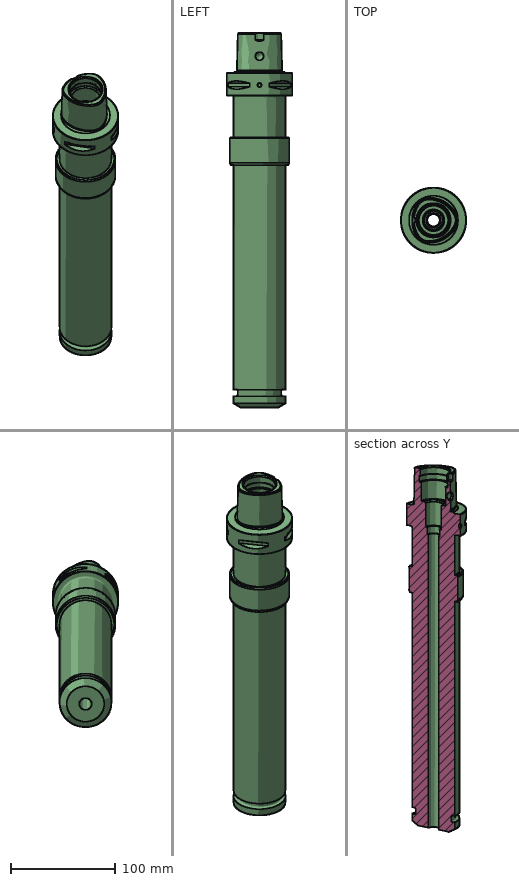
import cadquery as cq
import math

LENGTH = 360.0
SHANK_LENGTH = 38.0
FLANGE_HEIGHT = 22.0
FLANGE_TOP = LENGTH - SHANK_LENGTH
FLANGE_BOTTOM = FLANGE_TOP - FLANGE_HEIGHT
COLLAR_TOP = 260.0
COLLAR_HEIGHT = 27.0
COLLAR_BOTTOM = COLLAR_TOP - COLLAR_HEIGHT

FLANGE_DIAMETER = 63.0
FLANGE_CHAMFER = 0.5
BODY_DIAMETER = 50.0
NECK_FILLET = 1.8
COLLAR_DIAMETER = 57.5
COLLAR_CHAMFER = 1.25
COLLAR_LOWER_CHAMFER_HEIGHT = 2.5
GROOVE_DIAMETER = 42.0
GROOVE_BOTTOM = 11.0
GROOVE_WIDTH = 6.0
NOSE_DIAMETER = 36.0
NOSE_ANGLE = 30.0
GROOVE_ROUND = 1.0

SHANK_WIDTH = 44.0
SHANK_ECCENTRICITY = 1.25
LOBE_RADIUS = 13.0
TAPER_RATIO = 1 / 20
SHANK_TAPER = math.degrees(math.atan(TAPER_RATIO / 2))
SHANK_TOP_CHAMFER = 1.0
FOOT_DIAMETER = 49.5
FOOT_FILLET = 1.0
RELIEF_HEIGHT = 2.5
RELIEF_DEPTH = 0.55
LOBE_COUNT = 3

MOUTH_DIAMETER = 30.5
MOUTH_CHAMFER = 1.25
RECESS_DIAMETER = 33.0
RECESS_TOP = 8.0
RECESS_BOTTOM = 13.5
MAIN_BORE_DIAMETER = 28.0
MAIN_BORE_DEPTH = 32.5
THREAD_BORE_DIAMETER = 18.0
THREAD_BORE_CHAMFER = 1.5
THREAD_BORE_DEPTH = 57.5
STEP_BORE_DIAMETER = 14.0
STEP_BORE_DEPTH = 64.8
THROUGH_HOLE_DIAMETER = 12.0

DRILL_POINT_ANGLE = 118.0
SIDE_HOLE_DIAMETER = 8.0
SIDE_HOLE_DEPTH = 3.0
SIDE_HOLE_DROP = 22.5
RIM_NOTCH_DIAMETER = 10.8
RIM_NOTCH_DEPTH = 6.5
RIM_NOTCH_AXIS_X = -23.0
DIMPLE_DIAMETER = 4.0
DIMPLE_DEPTH = 0.7

GRIP_DEPTH = 3.5
GRIP_FLOOR_WIDTH = 3.2
GRIP_OUTER_WIDTH = 8.0
GRIP_COUNT = 4
GRIP_DROP = 12.0
GRIP_CENTER = FLANGE_TOP - GRIP_DROP

EDGE_MARGIN = 0.18


def cylinder(diameter, bottom, top):
    return cq.Workplane("XY").workplane(offset=bottom).circle(diameter / 2).extrude(top - bottom)


def polar(radius, degrees):
    angle = math.radians(degrees)
    return (radius * math.cos(angle), radius * math.sin(angle))


def round_edge(solid, radius, height, diameter):
    """Fillet the circular edge of the given diameter at the given height."""
    reach = diameter / 2 + EDGE_MARGIN
    box = cq.selectors.BoxSelector(
        (-reach, -reach, height - EDGE_MARGIN),
        (reach, reach, height + EDGE_MARGIN),
        boundingbox=True,
    )
    return solid.edges(box).edges("%CIRCLE").fillet(radius)


def body():
    body_r = BODY_DIAMETER / 2
    flange_r = FLANGE_DIAMETER / 2
    collar_r = COLLAR_DIAMETER / 2
    groove_r = GROOVE_DIAMETER / 2
    nose_r = NOSE_DIAMETER / 2
    groove_top = GROOVE_BOTTOM + GROOVE_WIDTH
    nose_height = (body_r - nose_r) * math.tan(math.radians(NOSE_ANGLE))
    fillet_mid = NECK_FILLET * (1 - math.sqrt(0.5))
    turned = (
        cq.Workplane("XZ")
        .moveTo(0, 0)
        .lineTo(nose_r, 0)
        .lineTo(body_r, nose_height)
        .lineTo(body_r, GROOVE_BOTTOM)
        .lineTo(groove_r, GROOVE_BOTTOM)
        .lineTo(groove_r, groove_top)
        .lineTo(body_r, groove_top)
        .lineTo(body_r, COLLAR_BOTTOM)
        .lineTo(collar_r - COLLAR_CHAMFER, COLLAR_BOTTOM)
        .lineTo(collar_r, COLLAR_BOTTOM + COLLAR_LOWER_CHAMFER_HEIGHT)
        .lineTo(collar_r, COLLAR_TOP - COLLAR_CHAMFER)
        .lineTo(collar_r - COLLAR_CHAMFER, COLLAR_TOP)
        .lineTo(body_r, COLLAR_TOP)
        .lineTo(body_r, FLANGE_BOTTOM - NECK_FILLET)
        .threePointArc(
            (body_r + fillet_mid, FLANGE_BOTTOM - fillet_mid),
            (body_r + NECK_FILLET, FLANGE_BOTTOM),
        )
        .lineTo(flange_r - FLANGE_CHAMFER, FLANGE_BOTTOM)
        .lineTo(flange_r, FLANGE_BOTTOM + FLANGE_CHAMFER)
        .lineTo(flange_r, FLANGE_TOP - FLANGE_CHAMFER)
        .lineTo(flange_r - FLANGE_CHAMFER, FLANGE_TOP)
        .lineTo(0, FLANGE_TOP)
        .close()
        .revolve(360, (0, 0, 0), (0, 1, 0))
    )
    for height in (GROOVE_BOTTOM, groove_top):
        turned = round_edge(turned, GROOVE_ROUND, height, GROOVE_DIAMETER)
    return turned


def shank_outline(inset, height):
    """Lobed outline moved inward by the inset and placed at the given height."""
    half_width = SHANK_WIDTH / 2 - inset
    lobe_radius = LOBE_RADIUS - inset
    lobe_tip = half_width + SHANK_ECCENTRICITY
    side_middle = half_width - SHANK_ECCENTRICITY
    lobe_offset = lobe_tip - lobe_radius
    pitch = 360 / LOBE_COUNT

    def joint(lobe_angle, side):
        center = polar(lobe_offset, lobe_angle)
        spoke = polar(lobe_radius, lobe_angle + side * pitch / 4)
        return (center[0] + spoke[0], center[1] + spoke[1])

    outline = cq.Workplane("XY").workplane(offset=height).moveTo(*joint(0, -1))
    for lobe in range(LOBE_COUNT):
        angle = lobe * pitch
        outline = outline.threePointArc(polar(lobe_tip, angle), joint(angle, 1))
        outline = outline.threePointArc(polar(side_middle, angle + pitch / 2), joint(angle + pitch, -1))
    return outline.close()


def shank():
    relief = shank_outline(RELIEF_DEPTH, FLANGE_TOP).extrude(RELIEF_HEIGHT)
    taper_length = SHANK_LENGTH - RELIEF_HEIGHT
    lobes = shank_outline(0, FLANGE_TOP + RELIEF_HEIGHT).extrude(taper_length, taper=SHANK_TAPER)
    return lobes.faces(">Z").chamfer(SHANK_TOP_CHAMFER).union(relief)


def shank_foot():
    """Ring that sweeps from the flange face up to the shank in a concave arc."""
    outer = FOOT_DIAMETER / 2
    inner = outer - FOOT_FILLET
    mid = FOOT_FILLET * (1 - math.sqrt(0.5))
    return (
        cq.Workplane("XZ")
        .moveTo(0, FLANGE_TOP)
        .lineTo(outer, FLANGE_TOP)
        .threePointArc((inner + mid, FLANGE_TOP + mid), (inner, FLANGE_TOP + FOOT_FILLET))
        .lineTo(0, FLANGE_TOP + FOOT_FILLET)
        .close()
        .revolve(360, (0, 0, 0), (0, 1, 0))
    )


def flare(diameter, chamfer, height):
    """45-degree countersink that opens a bore where it meets the given height."""
    rim = cq.Workplane("XY").workplane(offset=height).circle(diameter / 2 + chamfer)
    return rim.extrude(-chamfer, taper=45)


def bore():
    cut = cylinder(THROUGH_HOLE_DIAMETER, 0, LENGTH)
    for diameter, depth in (
        (STEP_BORE_DIAMETER, STEP_BORE_DEPTH),
        (THREAD_BORE_DIAMETER, THREAD_BORE_DEPTH),
        (MAIN_BORE_DIAMETER, MAIN_BORE_DEPTH),
        (MOUTH_DIAMETER, RECESS_BOTTOM),
    ):
        cut = cut.union(cylinder(diameter, LENGTH - depth, LENGTH))
    recess = cylinder(RECESS_DIAMETER, LENGTH - RECESS_BOTTOM, LENGTH - RECESS_TOP)
    mouth_flare = flare(MOUTH_DIAMETER, MOUTH_CHAMFER, LENGTH)
    thread_flare = flare(THREAD_BORE_DIAMETER, THREAD_BORE_CHAMFER, LENGTH - MAIN_BORE_DEPTH)
    return cut.union(recess).union(mouth_flare).union(thread_flare)


def grip_grooves():
    floor = FLANGE_DIAMETER / 2 - GRIP_DEPTH
    outer = FLANGE_DIAMETER / 2
    groove = (
        cq.Workplane("XZ")
        .polyline([
            (floor, GRIP_CENTER - GRIP_FLOOR_WIDTH / 2),
            (outer, GRIP_CENTER - GRIP_OUTER_WIDTH / 2),
            (outer, GRIP_CENTER + GRIP_OUTER_WIDTH / 2),
            (floor, GRIP_CENTER + GRIP_FLOOR_WIDTH / 2),
        ])
        .close()
        .extrude(outer, both=True)
    )
    cut = cq.Workplane("XY")
    for index in range(GRIP_COUNT):
        angle = (index + 0.5) * 360 / GRIP_COUNT
        cut = cut.add(groove.rotate((0, 0, 0), (0, 0, 1), angle))
    return cut.combine()


def drill(diameter, depth, overrun):
    """Pointed drill along -Z, with its full diameter from +overrun down to -depth."""
    radius = diameter / 2
    point = radius / math.tan(math.radians(DRILL_POINT_ANGLE / 2))
    return (
        cq.Workplane("XZ")
        .polyline([(0, overrun), (radius, overrun), (radius, -depth), (0, -depth - point)])
        .close()
        .revolve(360, (0, 0, 0), (0, 1, 0))
    )


def side_drill(diameter, depth, surface_x, height):
    """Drill that enters a surface on the -X side and points toward +X."""
    tool = drill(diameter, depth, diameter)
    return tool.rotate((0, 0, 0), (0, 1, 0), -90).translate((surface_x, 0, height))


def rim_notch():
    tool = drill(RIM_NOTCH_DIAMETER, RIM_NOTCH_DEPTH, RIM_NOTCH_DIAMETER)
    return tool.translate((RIM_NOTCH_AXIS_X, 0, LENGTH))


shank_side_x = -(SHANK_WIDTH / 2 - SHANK_ECCENTRICITY)
side_hole = side_drill(SIDE_HOLE_DIAMETER, SIDE_HOLE_DEPTH, shank_side_x, LENGTH - SIDE_HOLE_DROP)
dimple = side_drill(DIMPLE_DIAMETER, DIMPLE_DEPTH, -FLANGE_DIAMETER / 2, GRIP_CENTER)

result = body().union(shank()).union(shank_foot())
for cutter in (bore(), grip_grooves(), side_hole, dimple, rim_notch()):
    result = result.cut(cutter)